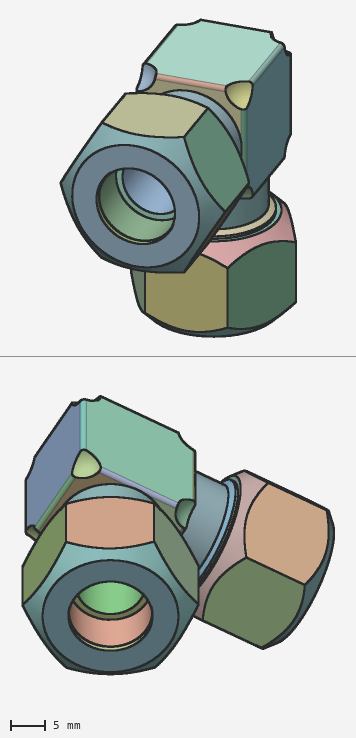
import cadquery as cq
import math

block_width = 17.0
block_side = 19.0
edge_radius = 0.65
corner_sphere_radius = 3.1

bore_radius = 5.0
neck_radius = 7.97
thread_radius = 9.0
thread_cone_angle = 30.0
thread_cone_start = 15.0
thread_cone_length = (thread_radius - neck_radius) * math.tan(math.radians(thread_cone_angle))
thread_cone_end = thread_cone_start + thread_cone_length

nut_sides = 6
nut_across_flats = 22.0
nut_across_corners = nut_across_flats / math.cos(math.pi / nut_sides)
nut_start = 16.0
nut_end = 31.5
nut_face_radius = 9.79
nut_hole_radius = 6.05
nut_lip = 1.0

ring_bore_radius = 6.0
ring_length = 6.8
ring_end = nut_end - nut_lip
ring_start = ring_end - ring_length
stub_end = ring_start

port_tilts = [0.0, -90.0]


def turn_to_port(shape, tilt):
    """Turn a shape built along -Z about the X axis."""
    return shape.rotate((0, 0, 0), (1, 0, 0), tilt)


def revolve_down(profile):
    """Revolve (radius, distance) points about the Z axis, with distance measured along -Z."""
    points = [(-radius, -distance) for radius, distance in profile]
    return cq.Workplane("YZ").polyline(points).close().revolve(360, (0, 0), (0, 1))


def make_block():
    """Round-edged block with a spherical hollow at each of its corners."""
    block = cq.Workplane("XY").box(block_width, block_side, block_side).edges().fillet(edge_radius)
    for x_side in (-1, 1):
        for y_side in (-1, 1):
            outward = math.degrees(math.atan2(y_side, x_side))
            hollow = cq.Workplane("XY").sphere(corner_sphere_radius).rotate((0, 0, 0), (0, 0, 1), outward)
            for z_side in (-1, 1):
                corner = (x_side * block_width / 2, y_side * block_side / 2, z_side * block_side / 2)
                block = block.cut(hollow.translate(corner))
    return block


def make_stub():
    return revolve_down([
        (0, 0),
        (neck_radius, 0),
        (neck_radius, thread_cone_start),
        (thread_radius, thread_cone_end),
        (thread_radius, stub_end),
        (0, stub_end),
    ])


def make_elbow_bore():
    """Mitred passage from the end of one stub to the end of the other."""
    path = cq.Workplane("YZ").polyline([(0, -stub_end), (0, 0), (-stub_end, 0)])
    section = cq.Workplane("XY").workplane(offset=-stub_end).circle(bore_radius)
    return section.sweep(path, transition="right")


def make_elbow():
    elbow = make_block()
    for tilt in port_tilts:
        elbow = elbow.union(turn_to_port(make_stub(), tilt))
    return elbow.cut(make_elbow_bore())


def make_nut():
    """Hexagon nut with both ends coned, bored to take the thread and the ring."""
    nut_length = nut_end - nut_start
    corner_radius = nut_across_corners / 2
    cone_length = corner_radius - nut_face_radius
    hexagon = (
        cq.Workplane("XY")
        .workplane(offset=-nut_end)
        .polygon(nut_sides, nut_across_corners)
        .extrude(nut_length)
    )
    coned_blank = revolve_down([
        (0, nut_start),
        (nut_face_radius, nut_start),
        (corner_radius, nut_start + cone_length),
        (corner_radius, nut_end - cone_length),
        (nut_face_radius, nut_end),
        (0, nut_end),
    ])
    cavity = revolve_down([
        (0, nut_start),
        (thread_radius, nut_start),
        (thread_radius, ring_end),
        (nut_hole_radius, ring_end),
        (nut_hole_radius, nut_end),
        (0, nut_end),
    ])
    return hexagon.intersect(coned_blank).cut(cavity)


def make_ring():
    return revolve_down([
        (ring_bore_radius, ring_start),
        (thread_radius, ring_start),
        (thread_radius, ring_end),
        (ring_bore_radius, ring_end),
    ])


elbow = make_elbow()
nuts = [turn_to_port(make_nut(), tilt) for tilt in port_tilts]
rings = [turn_to_port(make_ring(), tilt) for tilt in port_tilts]

result = cq.Compound.makeCompound([part.val() for part in [elbow, *nuts, *rings]])